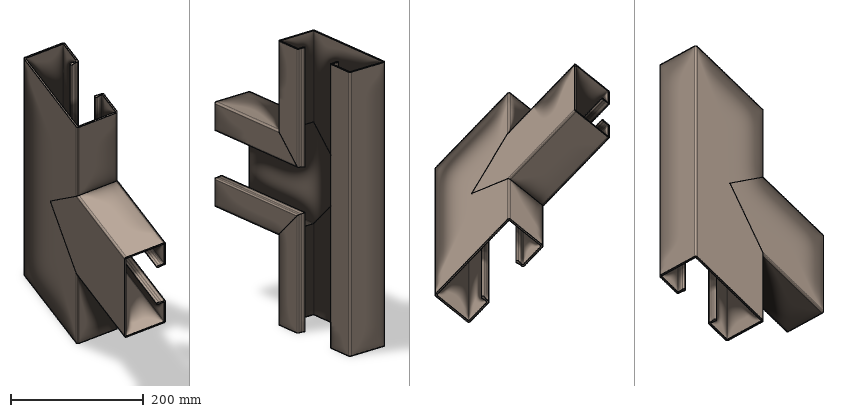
import cadquery as cq
run_length = 460.0
duct_width = 170.0
duct_depth = 70.0
overall_width = 320.0

wall = 2.65
bend_radius = 0.5
outer_radius = wall + bend_radius

flange_width = 47.0
bead_start_depth = 7.0
bead_wide_depth = 11.5
lip_depth = 14.5
bead_overhang = 1.0
bead_inner_bulge = 0.5
lip_outer_radius = 2.5
lip_inner_radius = 1.5

half_width = duct_width / 2
slot_half = half_width - flange_width
branch_reach = overall_width - half_width


def half_section(side):
    """Duct half on one side (+1 or -1) of the centre line, with its front on y = 0."""

    def place(x, depth):
        return (side * x, duct_depth - depth)

    lip_inside = slot_half + wall
    bead_outer = slot_half - bead_overhang
    bead_inner = lip_inside + bead_inner_bulge
    return (
        cq.Workplane("XY")
        .polyline(
            [
                place(0, duct_depth),
                place(half_width, duct_depth),
                place(half_width, 0),
                place(slot_half, 0),
                place(slot_half, bead_start_depth),
                place(bead_outer, bead_wide_depth),
            ]
        )
        .threePointArc(place((bead_outer + bead_inner) / 2, lip_depth), place(bead_inner, bead_wide_depth))
        .lineTo(*place(lip_inside, bead_start_depth))
        .lineTo(*place(lip_inside, wall))
        .lineTo(*place(half_width - wall, wall))
        .lineTo(*place(half_width - wall, duct_depth - wall))
        .lineTo(*place(0, duct_depth - wall))
        .close()
    )


def round_edge(body, x, y, radius, length):
    """Round the upright edge of a duct that passes through (x, y)."""
    edge = cq.selectors.NearestToPointSelector((x, y, length / 2))
    return body.edges("|Z").edges(edge).fillet(radius)


def duct(length):
    """Slotted C-shaped duct rising from z = 0, centred on x = 0, with rounded bends."""
    body = half_section(1).extrude(length).union(half_section(-1).extrude(length), clean=True)
    for side in (-1, 1):
        outer_x = side * half_width
        inner_x = side * (half_width - wall)
        body = round_edge(body, outer_x, 0, outer_radius, length)
        body = round_edge(body, outer_x, duct_depth, outer_radius, length)
        body = round_edge(body, inner_x, wall, bend_radius, length)
        body = round_edge(body, inner_x, duct_depth - wall, bend_radius, length)
        body = round_edge(body, side * slot_half, duct_depth, lip_outer_radius, length)
        body = round_edge(body, side * (slot_half + wall), duct_depth - wall, lip_inner_radius, length)
    return body


def mitre_wedge():
    """Right-angled wedge opening toward +X, with its point on the run's centre line."""
    return (
        cq.Workplane("XZ")
        .polyline([(0, 0), (branch_reach, branch_reach), (branch_reach, -branch_reach)])
        .close()
        .extrude(-duct_depth)
    )


def make_run():
    """Straight vertical duct with a V notch for the branch."""
    return duct(run_length).translate((0, 0, -run_length / 2)).cut(mitre_wedge())


def make_branch():
    """Side duct along +X, pointed to fill the notch in the run."""
    return duct(branch_reach).rotate((0, 0, 0), (0, 1, 0), 90).intersect(mitre_wedge())


run = make_run()
branch = make_branch()

result = cq.Compound.makeCompound([run.val(), branch.val()])